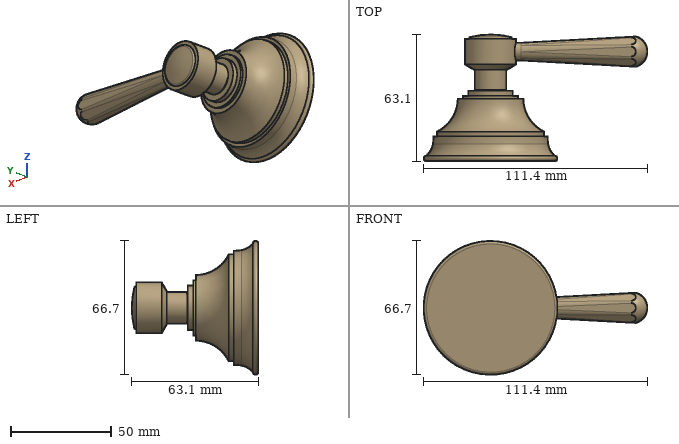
import cadquery as cq
import math


base_radius = 33.335
bead_radius = 1.42
bead_center_radius = base_radius - bead_radius
bead_height = 2 * bead_radius

flare_mid_radius, flare_mid_y = 29.75, 5.6
flare_line_radius, flare_line_y = 28.75, 8.6
flare_band_radius, flare_band_y = 28.55, 10.5
flare_top_radius, flare_top_y = 28.5, 12.4

bell_base_radius, bell_base_y = 26.7, 14.75
bell_top_radius, bell_top_y = 16.4, 31.15

lower_ring_radius, lower_ring_top = 13.8, 32.5
upper_ring_radius, upper_ring_top = 11.15, 35.2
stem_radius = 7.0
stem_gap = 0.35
neck_bottom = upper_ring_top + stem_gap
neck_radius = 7.95

head_radius = 12.75
head_cone_radius, head_cone_bottom = 8.3, 45.55
head_cone_top = 48.2
head_top = 60.85
cap_radius = 10.7
cap_corner = 0.9
cap_rim_height = 1.05
cap_edge_y = head_top + cap_rim_height
total_height = 63.12

lever_y = 54.55
overall_length = 111.43
lever_end_x = overall_length - base_radius
socket_radius = 4.45
socket_end_x = 15.0
tip_radius = 7.85
tip_center_x = lever_end_x - tip_radius
flat_count = 8
flat_pitch = 360 / flat_count
flat_half_angle = 18.0


def bell_mid_point():
    """Middle of the bell's arc, which starts parallel to the axis at the top."""
    spread = bell_base_radius - bell_top_radius
    drop = bell_top_y - bell_base_y
    arc_radius = (spread**2 + drop**2) / (2 * spread)
    half_sweep = math.asin(drop / arc_radius) / 2
    radius = bell_top_radius + arc_radius * (1 - math.cos(half_sweep))
    return radius, bell_top_y - arc_radius * math.sin(half_sweep)


def cap_dome_mid_point(edge_radius):
    """Middle of the cap's dome arc, which is level where it meets the axis."""
    rise = total_height - cap_edge_y
    arc_radius = (edge_radius**2 + rise**2) / (2 * rise)
    half_sweep = math.asin(edge_radius / arc_radius) / 2
    y = total_height - arc_radius * (1 - math.cos(half_sweep))
    return arc_radius * math.sin(half_sweep), y


def make_body():
    dome_radius = cap_radius - cap_corner
    diagonal = math.cos(math.radians(45))
    corner_mid = (
        dome_radius + cap_corner * diagonal,
        cap_edge_y - cap_corner * (1 - diagonal),
    )
    profile = (
        cq.Workplane("XY")
        .lineTo(bead_center_radius, 0)
        .threePointArc((base_radius, bead_radius), (bead_center_radius, bead_height))
        .threePointArc((flare_mid_radius, flare_mid_y), (flare_line_radius, flare_line_y))
        .threePointArc((flare_band_radius, flare_band_y), (flare_top_radius, flare_top_y))
        .lineTo(bell_base_radius, flare_top_y)
        .lineTo(bell_base_radius, bell_base_y)
        .threePointArc(bell_mid_point(), (bell_top_radius, bell_top_y))
        .lineTo(lower_ring_radius, bell_top_y)
        .lineTo(lower_ring_radius, lower_ring_top)
        .lineTo(upper_ring_radius, lower_ring_top)
        .lineTo(upper_ring_radius, upper_ring_top)
        .lineTo(stem_radius, upper_ring_top)
        .lineTo(stem_radius, neck_bottom)
        .lineTo(neck_radius, neck_bottom)
        .lineTo(neck_radius, head_cone_bottom)
        .lineTo(head_cone_radius, head_cone_bottom)
        .lineTo(head_radius, head_cone_top)
        .lineTo(head_radius, head_top)
        .lineTo(cap_radius, head_top)
        .lineTo(cap_radius, cap_edge_y - cap_corner)
        .threePointArc(corner_mid, (dome_radius, cap_edge_y))
        .threePointArc(cap_dome_mid_point(dome_radius), (0, total_height))
        .close()
    )
    return profile.revolve(360, (0, 0, 0), (0, 1, 0))


def lever_point(x, radius, angle):
    """Point at a distance and angle (degrees) around the lever's axis."""
    turn = math.radians(angle)
    return cq.Vector(x, lever_y + radius * math.cos(turn), radius * math.sin(turn))


def lever_arc(x, radius, start, end):
    middle = (start + end) / 2
    return cq.Edge.makeThreePointArc(
        lever_point(x, radius, start),
        lever_point(x, radius, middle),
        lever_point(x, radius, end),
    )


def make_grip():
    """Round at the socket; eight triangular flats widen toward the tip."""
    faces = []
    socket_edges = []
    tip_edges = []
    for index in range(flat_count):
        angle = index * flat_pitch
        next_angle = angle + flat_pitch
        flat_start = angle - flat_half_angle
        flat_end = angle + flat_half_angle
        next_flat_start = next_angle - flat_half_angle

        apex = lever_point(socket_end_x, socket_radius, angle)
        corner_a = lever_point(tip_center_x, tip_radius, flat_start)
        corner_b = lever_point(tip_center_x, tip_radius, flat_end)
        flat_wire = cq.Wire.makePolygon([apex, corner_a, corner_b], close=True)
        faces.append(cq.Face.makeFromWires(flat_wire))

        socket_arc = lever_arc(socket_end_x, socket_radius, angle, next_angle)
        tip_arc = lever_arc(tip_center_x, tip_radius, flat_end, next_flat_start)
        faces.append(cq.Face.makeRuledSurface(socket_arc, tip_arc))

        socket_edges.append(socket_arc)
        tip_edges.append(cq.Edge.makeLine(corner_a, corner_b))
        tip_edges.append(tip_arc)

    for edges in (socket_edges, tip_edges):
        faces.append(cq.Face.makeFromWires(cq.Wire.assembleEdges(edges)))
    return cq.Workplane(cq.Solid.makeSolid(cq.Shell.makeShell(faces)).fix())


def make_tip():
    """Half ball at the lever's end, trimmed where the flats run out over it."""
    tip = (
        cq.Workplane("XY")
        .moveTo(tip_center_x, lever_y)
        .lineTo(lever_end_x, lever_y)
        .radiusArc((tip_center_x, lever_y + tip_radius), -tip_radius)
        .close()
        .revolve(360, (tip_center_x, lever_y, 0), (lever_end_x, lever_y, 0))
    )
    flat_offset = tip_radius * math.cos(math.radians(flat_half_angle))
    slope = (flat_offset - socket_radius) / (tip_center_x - socket_end_x)
    outer_offset = 2 * tip_radius
    trimmer = (
        cq.Workplane("XY")
        .polyline([
            (tip_center_x, lever_y + flat_offset),
            (lever_end_x, lever_y + flat_offset + slope * tip_radius),
            (lever_end_x, lever_y + outer_offset),
            (tip_center_x, lever_y + outer_offset),
        ])
        .close()
        .extrude(tip_radius, both=True)
    )
    for index in range(flat_count):
        tip = tip.cut(trimmer.rotate((0, lever_y, 0), (1, lever_y, 0), index * flat_pitch))
    return tip


def make_socket():
    return (
        cq.Workplane("YZ")
        .center(lever_y, 0)
        .circle(socket_radius)
        .extrude(socket_end_x)
    )


result = make_body().union(make_socket()).union(make_grip()).union(make_tip())